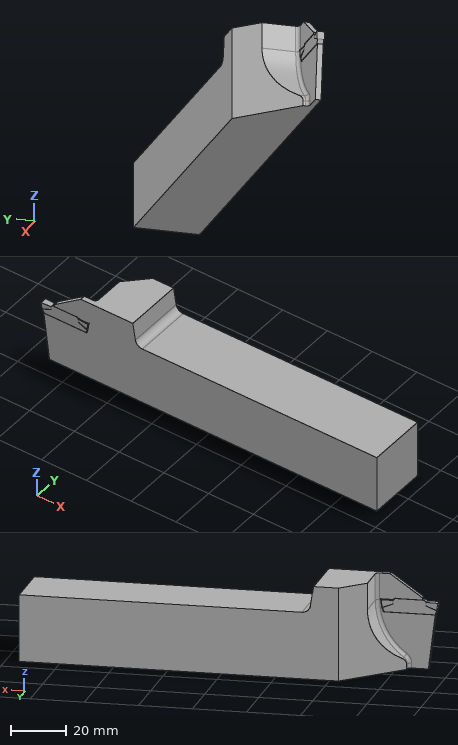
import cadquery as cq
import math

tip_x = 0.0
length = 150.0
shank_size = 25.0
head_top_z = 35.0

heel_x = 3.6
jaw_nose_x = 5.8
jaw_nose_z = 26.7
head_front_x = 17.7
head_back_x = 41.0
back_wall_angle = 9.0
back_fillet = 3.2

blade_thickness = 2.2
chamfer_end_x = 31.6
relief_back_x = 23.0
relief_radius = 25.5
relief_foot_x = 11.1
relief_foot_fillet = 3.0
relief_root_fillet = 1.4

insert_length = 21.0
insert_bottom_z = 20.5
insert_top_z = 25.8
edge_z = shank_size
end_step_z = 22.2
end_step_inset = 0.5
foot_inset = 1.0
edge_length = 4.4
crown_inset = 5.1
flank_back_z = 23.7
side_overhang = 0.3
pocket_gap = 0.3
insert_thickness = blade_thickness + 0.2
clear = 7.5


def side_plate(points, y_start, thickness):
    """Extrude an XZ outline along +Y from y_start."""
    return cq.Workplane("XZ", origin=(0, y_start, 0)).polyline(points).close().extrude(-thickness)


def mirrored_end(point):
    """Same point at the other end of the double-ended insert."""
    return (tip_x + insert_length - point[0], point[1])


def make_insert():
    half_outline = [
        (foot_inset, insert_bottom_z),
        (end_step_inset, end_step_z),
        (tip_x, edge_z),
        (edge_length, edge_z),
        (crown_inset, insert_top_z),
    ]
    other_half = [mirrored_end(p) for p in reversed(half_outline)]
    insert = side_plate(half_outline + other_half, 0, insert_thickness)
    end_profile = [
        (end_step_inset, end_step_z),
        (tip_x, edge_z),
        (edge_length, edge_z),
        (edge_length, flank_back_z),
    ]
    end_plan = [
        (tip_x, -side_overhang),
        (edge_length, 0),
        (edge_length, insert_thickness),
        (tip_x, insert_thickness + side_overhang),
    ]
    for place in (lambda p: p, mirrored_end):
        profile = [place(p) for p in end_profile]
        plan = [place(p) for p in end_plan]
        wide_end = side_plate(profile, -side_overhang, insert_thickness + 2 * side_overhang)
        plan_prism = cq.Workplane("XY").polyline(plan).close().extrude(insert_top_z)
        insert = insert.union(wide_end.intersect(plan_prism))
    return insert


def make_rear_clearance():
    """Gap in the insert pocket around the rear cutting end."""
    rear_x = tip_x + insert_length
    outline = [
        (rear_x - crown_inset, insert_bottom_z),
        (rear_x - crown_inset, insert_top_z),
        (rear_x - edge_length, edge_z + pocket_gap),
        (rear_x + pocket_gap, edge_z + pocket_gap),
        (rear_x + pocket_gap - end_step_inset, end_step_z),
        (rear_x + pocket_gap - foot_inset, insert_bottom_z),
    ]
    return side_plate(outline, -side_overhang, insert_thickness + 2 * side_overhang)


def make_holder_blank():
    back_run = (head_top_z - shank_size) * math.tan(math.radians(back_wall_angle))
    back_foot_x = head_back_x + back_run
    outline = [
        (heel_x, 0),
        (length, 0),
        (length, shank_size),
        (back_foot_x, shank_size),
        (head_back_x, head_top_z),
        (head_front_x, head_top_z),
        (jaw_nose_x, jaw_nose_z),
        (jaw_nose_x, insert_bottom_z),
        (foot_inset, insert_bottom_z),
    ]
    blank = side_plate(outline, 0, shank_size)
    back_corner = cq.selectors.NearestToPointSelector((back_foot_x, shank_size / 2, shank_size))
    return blank.edges("|Y").edges(back_corner).fillet(back_fillet)


def make_corner_cut():
    """45 degree cut across the far front corner, full height, kept behind the blade."""
    run = shank_size - blade_thickness
    outline = [
        (chamfer_end_x, shank_size),
        (chamfer_end_x - run, blade_thickness),
        (-clear, blade_thickness),
        (-clear, shank_size),
    ]
    return cq.Workplane("XY").polyline(outline).close().extrude(head_top_z)


def make_relief_cut():
    """Space behind the blade, in front of the swept wall."""
    centre_x = relief_back_x - relief_radius
    foot_run = relief_foot_x - centre_x
    foot_z = shank_size - math.sqrt(relief_radius**2 - foot_run**2)
    mid_angle = math.acos(foot_run / relief_radius) / 2
    mid_point = (
        centre_x + relief_radius * math.cos(mid_angle),
        shank_size - relief_radius * math.sin(mid_angle),
    )
    cut = (
        cq.Workplane("XZ", origin=(0, blade_thickness, 0))
        .moveTo(-clear, -clear)
        .lineTo(relief_foot_x, -clear)
        .lineTo(relief_foot_x, foot_z)
        .threePointArc(mid_point, (relief_back_x, shank_size))
        .lineTo(relief_back_x, head_top_z + clear)
        .lineTo(-clear, head_top_z + clear)
        .close()
        .extrude(-2 * shank_size)
    )
    foot_edge = cq.selectors.NearestToPointSelector((relief_foot_x, blade_thickness + shank_size, foot_z))
    cut = cut.edges("|Y").edges(foot_edge).fillet(relief_foot_fillet)
    root_start = cq.selectors.NearestToPointSelector((relief_back_x, blade_thickness, head_top_z))
    return cut.edges("<Y").edges(root_start).fillet(relief_root_fillet)


insert = make_insert()
holder = make_holder_blank().cut(make_relief_cut()).cut(make_corner_cut())
holder = holder.cut(make_rear_clearance()).cut(insert)

result = cq.Compound.makeCompound([holder.val(), insert.val()])